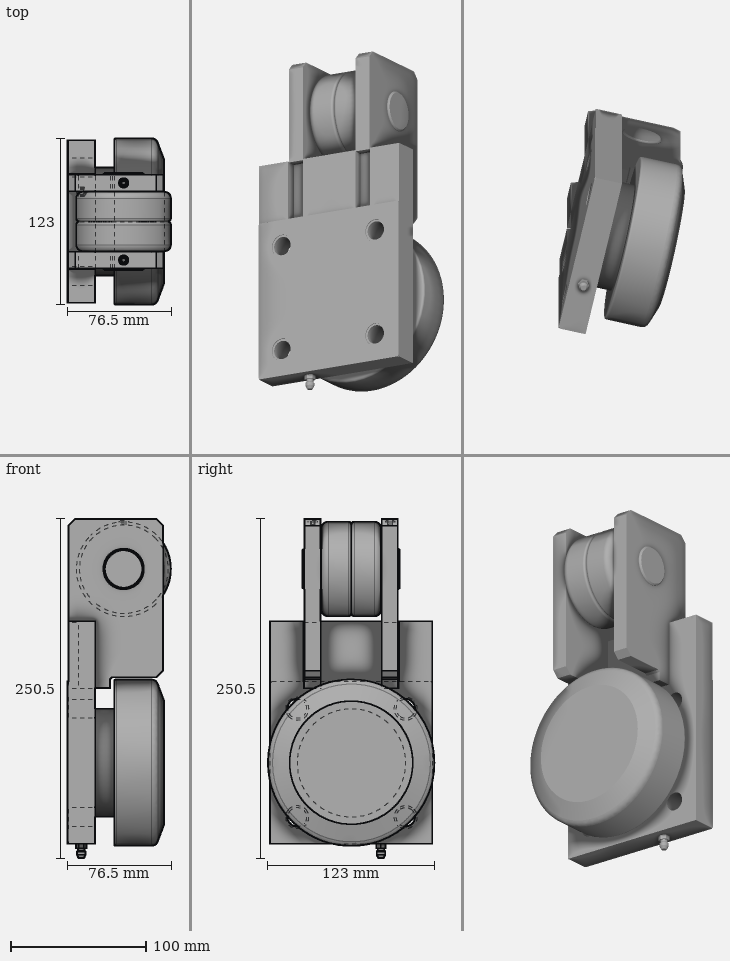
import cadquery as cq


PLATE_WIDTH = 120.0
PLATE_HEIGHT = 164.5
PLATE_FRONT_X = 20.5
PAD_HEIGHT = 120.0
PAD_STEP = 0.7
PAD_CORNER_CHAMFER = 1.2
BOLT_SPACING = 80.0
BOLT_DIAMETER = 14.0
BOLT_MOUTH_DIAMETER = 17.0

FORK_GAP = 45.0
FORK_THICKNESS = 12.0
FORK_TOP_Z = 240.0
FORK_WIDTH = 70.0
FORK_CHAMFER = 5.0
FORK_BOTTOM_Z = 123.0
TAIL_BOTTOM_Z = 115.0
TAIL_FRONT_X = 31.5
TAIL_RELIEF = 1.5
SLOT_CLEARANCE = 0.7
SLOT_BACK_X = 8.0
SHOULDER_DROP = 1.0

ROLLER_DIAMETER = 123.0
ROLLER_BACK_X = 34.5
ROLLER_FRONT_X = 71.5
ROLLER_BACK_FILLET = 1.5
ROLLER_FRONT_FILLET = 5.0
CONE_LENGTH = 6.0
CONE_END_RADIUS = 45.5
HUB_RADIUS = 40.0

GUIDE_DIAMETER = 70.0
GUIDE_WIDTH = 44.0
GUIDE_X = 41.5
GUIDE_Z = 203.0
GUIDE_EDGE_FILLET = 5.0
GUIDE_GROOVE_FILLET = 2.3
PIN_RADIUS = 15.0
PIN_LENGTH = 72.0
PIN_CHAMFER = 1.2

SCREW_HOLE_DIAMETER = 7.0
SCREW_RECESS = 1.0
SCREW_BEVEL = 1.0
SCREW_BEVEL_ANGLE = 45.0
SCREW_SOCKET_WIDTH = 3.0
SCREW_SOCKET_DEPTH = 3.0

NIPPLE_Y = 22.0
NIPPLE_HEX_WIDTH = 7.0
NIPPLE_HEX_HEIGHT = 3.2
NIPPLE_HEX_TURN = 30.0
NIPPLE_NECK_RADIUS = 2.5
NIPPLE_BEAD_RADIUS = 3.25
NIPPLE_TIP_RADIUS = 2.0
NIPPLE_NECK_END = 5.0
NIPPLE_BEAD_START = 5.7
NIPPLE_BEAD_END = 8.0
NIPPLE_LENGTH = 10.5

ROLLER_Z = PAD_HEIGHT / 2
SHOULDER_Z = PLATE_HEIGHT - SHOULDER_DROP
FORK_FRONT_X = PAD_STEP + FORK_WIDTH
FORK_MID_Y = (FORK_GAP + FORK_THICKNESS) / 2


def block(x0, x1, y0, y1, z0, z1):
    return cq.Workplane("XY").box(x1 - x0, y1 - y0, z1 - z0, centered=False).translate((x0, y0, z0))


def mounting_plate():
    """Plate whose lower pad stands proud of the upper back face, with slots and bolt holes."""
    half = PLATE_WIDTH / 2
    plate = block(PAD_STEP, PLATE_FRONT_X, -half, half, 0, PLATE_HEIGHT)
    pad = block(0, PAD_STEP, -half, half, 0, PAD_HEIGHT)
    plate = plate.union(pad.edges("|X").chamfer(PAD_CORNER_CHAMFER))

    inner_y = FORK_GAP / 2
    outer_y = inner_y + FORK_THICKNESS + SLOT_CLEARANCE
    slot = block(PAD_STEP, SLOT_BACK_X, inner_y, outer_y, TAIL_BOTTOM_Z, PLATE_HEIGHT)
    clearance = block(
        PAD_STEP, PLATE_FRONT_X, outer_y - SLOT_CLEARANCE, outer_y, TAIL_BOTTOM_Z, PLATE_HEIGHT
    )
    for cut in (slot, clearance):
        plate = plate.cut(cut).cut(cut.mirror("XZ"))

    bolt_hole = cq.Workplane("YZ").circle(BOLT_DIAMETER / 2).extrude(PLATE_FRONT_X)
    mouth = cq.Workplane("YZ").circle(BOLT_MOUTH_DIAMETER / 2).extrude(PAD_STEP)
    bolt_hole = bolt_hole.union(mouth)
    for y in (-BOLT_SPACING / 2, BOLT_SPACING / 2):
        for z in (ROLLER_Z - BOLT_SPACING / 2, ROLLER_Z + BOLT_SPACING / 2):
            plate = plate.cut(bolt_hole.translate((0, y, z)))
    return plate


def fork_plate():
    """Side plate on the +Y side, set into its slot in the mounting plate."""
    back_x = PAD_STEP
    outline = [
        (back_x, SHOULDER_Z),
        (back_x, FORK_TOP_Z - FORK_CHAMFER),
        (back_x + FORK_CHAMFER, FORK_TOP_Z),
        (FORK_FRONT_X - FORK_CHAMFER, FORK_TOP_Z),
        (FORK_FRONT_X, FORK_TOP_Z - FORK_CHAMFER),
        (FORK_FRONT_X, FORK_BOTTOM_Z + FORK_CHAMFER),
        (FORK_FRONT_X - FORK_CHAMFER, FORK_BOTTOM_Z),
        (TAIL_FRONT_X + TAIL_RELIEF, FORK_BOTTOM_Z),
        (TAIL_FRONT_X, FORK_BOTTOM_Z - TAIL_RELIEF),
        (TAIL_FRONT_X, TAIL_BOTTOM_Z),
        (SLOT_BACK_X, TAIL_BOTTOM_Z),
        (SLOT_BACK_X, SHOULDER_Z),
    ]
    plate = cq.Workplane("XZ").polyline(outline).close().extrude(-FORK_THICKNESS)
    plate = plate.translate((0, FORK_GAP / 2, 0))

    screw_top = cq.Workplane("XY", origin=(GUIDE_X, FORK_MID_Y, FORK_TOP_Z))
    bevel_depth = SCREW_RECESS + SCREW_BEVEL
    recess = screw_top.circle(SCREW_HOLE_DIAMETER / 2).extrude(-bevel_depth)
    screw_end = screw_top.workplane(offset=-bevel_depth).circle(SCREW_HOLE_DIAMETER / 2)
    recess = recess.cut(screw_end.extrude(SCREW_BEVEL, taper=SCREW_BEVEL_ANGLE))
    socket_depth = SCREW_RECESS + SCREW_SOCKET_DEPTH
    socket = screw_top.polygon(6, SCREW_SOCKET_WIDTH, circumscribed=True).extrude(-socket_depth)
    return plate.cut(recess).cut(socket)


def large_roller():
    """Roller with a conical front, on a hub that stands on the mounting plate."""
    radius = ROLLER_DIAMETER / 2
    profile = [
        (ROLLER_BACK_X, 0),
        (ROLLER_BACK_X, radius),
        (ROLLER_FRONT_X - CONE_LENGTH, radius),
        (ROLLER_FRONT_X, CONE_END_RADIUS),
        (ROLLER_FRONT_X, 0),
    ]
    roller = cq.Workplane("XY").polyline(profile).close().revolve(360, (0, 0, 0), (1, 0, 0))
    cone_base = cq.selectors.NearestToPointSelector((ROLLER_FRONT_X - CONE_LENGTH, 0, 0))
    roller = roller.edges("%CIRCLE").edges(cone_base).fillet(ROLLER_FRONT_FILLET)
    roller = roller.faces("<X").edges().fillet(ROLLER_BACK_FILLET)
    hub = cq.Workplane("YZ", origin=(PLATE_FRONT_X, 0, 0)).circle(HUB_RADIUS)
    hub = hub.extrude(ROLLER_BACK_X - PLATE_FRONT_X)
    return roller.union(hub).translate((0, 0, ROLLER_Z))


def guide_roller():
    """Pair of rounded rollers side by side, on a pin through both fork plates."""
    radius = GUIDE_DIAMETER / 2
    half_roller = cq.Workplane("XZ").circle(radius).extrude(-GUIDE_WIDTH / 2)
    half_roller = half_roller.faces(">Y").edges().fillet(GUIDE_EDGE_FILLET)
    half_roller = half_roller.faces("<Y").edges().fillet(GUIDE_GROOVE_FILLET)
    pin = cq.Workplane("XZ", origin=(0, -PIN_LENGTH / 2, 0)).circle(PIN_RADIUS)
    pin = pin.extrude(-PIN_LENGTH).faces("<Y or >Y").edges().chamfer(PIN_CHAMFER)
    rollers = half_roller.union(half_roller.mirror("XZ"))
    return rollers.union(pin).translate((GUIDE_X, 0, GUIDE_Z))


def grease_nipple():
    """Hexagon under the plate with a necked, beaded stem."""
    centre_x = PLATE_FRONT_X / 2
    hexagon = cq.Workplane("XY").polygon(6, NIPPLE_HEX_WIDTH, circumscribed=True)
    hexagon = hexagon.extrude(-NIPPLE_HEX_HEIGHT).rotate((0, 0, 0), (0, 0, 1), NIPPLE_HEX_TURN)
    profile = [
        (0, 0),
        (NIPPLE_NECK_RADIUS, 0),
        (NIPPLE_NECK_RADIUS, -NIPPLE_NECK_END),
        (NIPPLE_BEAD_RADIUS, -NIPPLE_BEAD_START),
        (NIPPLE_BEAD_RADIUS, -NIPPLE_BEAD_END),
        (NIPPLE_TIP_RADIUS, -NIPPLE_LENGTH),
        (0, -NIPPLE_LENGTH),
    ]
    stem = cq.Workplane("XZ").polyline(profile).close().revolve(360, (0, 0, 0), (0, 1, 0))
    return hexagon.union(stem).translate((centre_x, NIPPLE_Y, 0))


fork = fork_plate()
result = (
    mounting_plate()
    .union(fork)
    .union(fork.mirror("XZ"))
    .union(large_roller())
    .union(guide_roller())
    .union(grease_nipple())
)